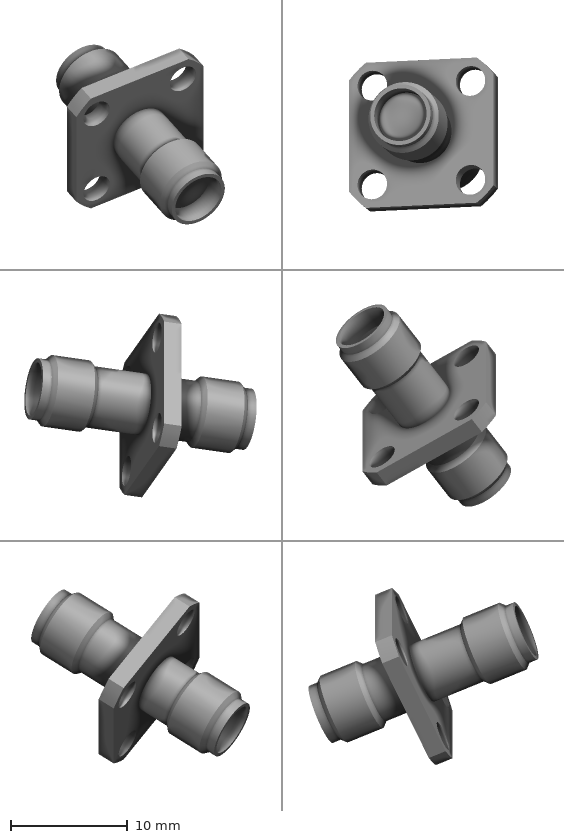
import cadquery as cq

length = 19.2
barrel_radius = 2.65
bore_radius = 2.3
bore_depth = 1.92

collar_radius = 3.1
collar_start = 0.79
collar_end = 5.0
collar_bevel = collar_radius - barrel_radius

flange_side = 12.7
flange_disc_radius = 8.0
flange_start = 7.91
flange_thickness = 1.57
hole_diameter = 2.6
hole_spacing = 8.64


def cylinder_along_x(radius, start, end):
    return cq.Workplane("YZ", origin=(start, 0, 0)).circle(radius).extrude(end - start)


def collar(start, end):
    """Ring around the barrel with a 45 degree bevel at both rims."""
    ring = cylinder_along_x(collar_radius, start, end)
    return ring.faces("<X or >X").edges().chamfer(collar_bevel)


def flange():
    flange_end = flange_start + flange_thickness
    plate = (
        cq.Workplane("YZ", origin=(flange_start, 0, 0))
        .rect(flange_side, flange_side)
        .extrude(flange_thickness)
    )
    disc = cylinder_along_x(flange_disc_radius, flange_start, flange_end)
    holes = (
        cq.Workplane("YZ", origin=(flange_start, 0, 0))
        .rect(hole_spacing, hole_spacing, forConstruction=True)
        .vertices()
        .circle(hole_diameter / 2)
        .extrude(flange_thickness)
    )
    return plate.intersect(disc).cut(holes)


body = cylinder_along_x(barrel_radius, 0, length).union(flange())
body = body.union(collar(collar_start, collar_end))
body = body.union(collar(length - collar_end, length - collar_start))

body = body.cut(cylinder_along_x(bore_radius, 0, bore_depth))
body = body.cut(cylinder_along_x(bore_radius, length - bore_depth, length))

result = body